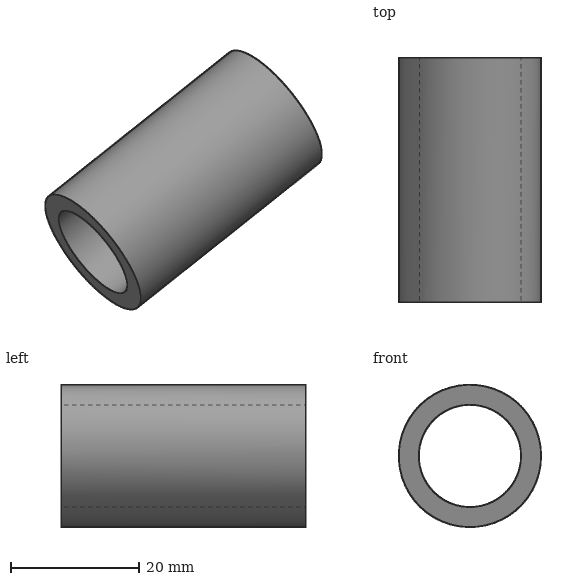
import cadquery as cq

length = 38.1
outer_diameter = 22.2
bore_diameter = 15.9

result = (
    cq.Workplane("XZ", origin=(0, length / 2, 0))
    .circle(outer_diameter / 2)
    .circle(bore_diameter / 2)
    .extrude(length)
)